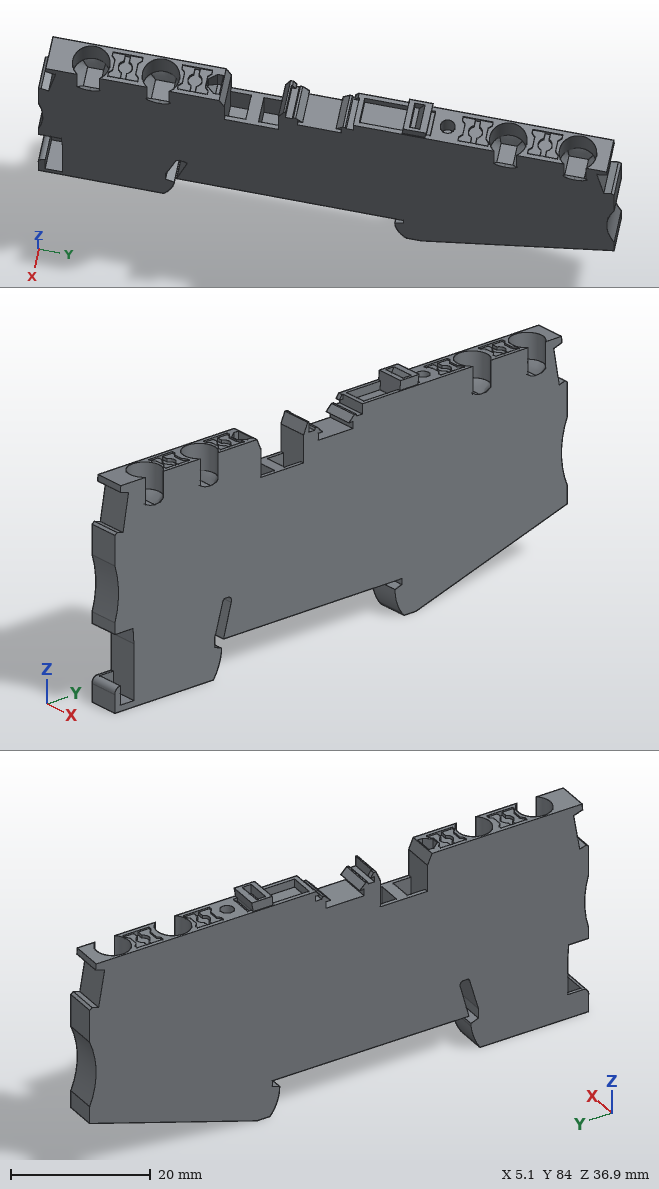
import cadquery as cq

thickness = 5.1
length = 84.0
height = 36.9
deck_z = 35.4
rail_z = 5.9
half_length = length / 2
cut_clearance = 0.8

clip_y = -1.0
clip_floor_z = 32.0
hook_ledge_z = 33.8
hook_relief_inner = 3.95
hook_relief_outer = 4.95
hook_wall = 0.75
bridge_floor_z = 29.2
bridge_y_max = -7.0
bridge_y_min = -14.9
bridge_bevel_z = 33.6
bridge_bevel = 0.75

latch_y_min = 11.2
latch_foot_y_min = 10.9
latch_y_max = 14.6
latch_foot_y_max = 14.4
latch_width = 4.8
latch_groove_y_min = 12.0
latch_groove_floor_y_max = 12.6
latch_groove_y_max = 13.5
latch_groove_depth = 1.7

recess_width = 3.9
label_recess_y_min = 4.7
label_recess_depth = 1.35
latch_recess_y_max = 15.0
latch_recess_depth = 0.5
bridge_pocket_length = 3.0
bridge_pocket_depth = 5.0
test_hole_x = 0.1
test_hole_y = 17.2
test_hole_diameter = 2.1
test_hole_depth = 3.4
test_ramp_run = 0.7

pick_x = 0.1
pick_width = 3.0
pick_y_max = -15.8
pick_floor_y_min = -16.6
pick_y_min = -17.8
pick_end_width = 1.1
pick_depth = 3.4

foot_shelf_z = 4.0
foot_wall_y = -38.5
foot_lip_y = -41.0
foot_side_wall = 0.5
foot_pocket_depth = 3.0

wire_entries = [
    (36.3, 2.85, -1),
    (26.1, 2.35, -1),
    (-24.5, 2.85, 1),
    (-34.7, 2.35, 1),
]
funnel_x = 0.4
funnel_radius = 2.7
funnel_bore_depth = 4.2
funnel_taper_depth = 1.5
funnel_floor_x = 0.1
funnel_floor_width = 3.0
funnel_floor_shift = 0.25

button_offset = 4.9
button_length = 4.4
button_recess = 0.25
button_notch_depth = 0.5
button_notch_outer = 2.7
button_notch_inner = 1.7
button_slot_width = 0.75
button_slot_depth = 0.5
button_hole_diameter = 2.0


def mirrored_y(points, centre):
    """Mirror a chain of (y, z) points about y = centre, reversing its order."""
    return [(2 * centre - y, z) for y, z in reversed(points)]


def box_down(width, y_min, y_max, top_z, depth, x=0.0):
    """Box cutter sunk from top_z, reaching a little above it."""
    return cq.Workplane("XY").box(
        width, y_max - y_min, depth + cut_clearance, centered=(True, False, False)
    ).translate((x, y_min, top_z - depth))


def make_body():
    """Side outline of the housing, extruded across the thickness."""
    end_lip = [
        (40.9, deck_z),
        (41.0, 34.35),
        (39.5, 33.85),
        (40.5, 27.9),
        (41.6, 28.2),
        (half_length, 27.9),
    ]
    hooks = [
        (clip_y + 4.8, deck_z),
        (clip_y + 4.3, 34.6),
        (clip_y + 4.95, 34.6),
        (clip_y + 4.95, hook_ledge_z),
        (clip_y + 3.95, hook_ledge_z),
        (clip_y + 3.8, 34.1),
        (clip_y + 3.45, 34.1),
        (clip_y + 2.4, 33.1),
        (clip_y + 3.2, 33.1),
        (clip_y + 3.2, clip_floor_z),
    ]
    bridge_slot = [
        (bridge_y_max + bridge_bevel, deck_z),
        (bridge_y_max, bridge_bevel_z),
        (bridge_y_max, bridge_floor_z),
        (bridge_y_min, bridge_floor_z),
        (bridge_y_min, bridge_bevel_z),
        (bridge_y_min - bridge_bevel, deck_z),
    ]
    top_edge = hooks + mirrored_y(hooks, clip_y) + bridge_slot

    outline = cq.Workplane("YZ", origin=(-thickness / 2, 0, 0)).moveTo(*top_edge[0])
    for point in top_edge[1:]:
        outline = outline.lineTo(*point)
    for y, z in end_lip:
        outline = outline.lineTo(-y, z)
    outline = (
        outline
        .lineTo(-half_length, 23.1)
        .threePointArc((-41.3, 18.65), (-half_length, 14.2))
        .lineTo(-half_length, 12.35)
        .lineTo(-38.6, 12.35)
        .lineTo(foot_wall_y, 9.9)
        .lineTo(foot_wall_y, foot_shelf_z)
        .lineTo(foot_lip_y, foot_shelf_z)
        .threePointArc((-41.75, 3.7), (-half_length, 2.9))
        .lineTo(-half_length, 0)
        .lineTo(-23.7, 0)
        .threePointArc((-22.7, 2.0), (-22.2, 4.1))
        .lineTo(-22.2, 4.5)
        .lineTo(-23.4, 5.0)
        .lineTo(-23.4, 6.6)
        .lineTo(-22.0, 11.7)
        .threePointArc((-21.75, 12.1), (-21.4, 12.2))
        .lineTo(-20.8, 12.2)
        .threePointArc((-20.4, 11.85), (-20.4, 11.25))
        .lineTo(-21.8, rail_z)
        .lineTo(11.25, rail_z)
        .lineTo(11.25, 4.95)
        .lineTo(10.0, 4.5)
        .threePointArc((10.3, 2.35), (11.25, 0.5))
        .lineTo(11.7, 0)
        .lineTo(13.9, 0)
        .lineTo(half_length, 8.8)
        .lineTo(half_length, 11.7)
        .threePointArc((40.9, 17.1), (half_length, 22.5))
    )
    for y, z in reversed(end_lip):
        outline = outline.lineTo(y, z)
    return outline.close().extrude(thickness)


def make_latch():
    """Raised block with a slanted groove across its top."""
    block = (
        cq.Workplane("YZ")
        .polyline([
            (latch_foot_y_min, deck_z - label_recess_depth),
            (latch_foot_y_max, deck_z - label_recess_depth),
            (latch_foot_y_max, deck_z),
            (latch_y_max, height),
            (latch_y_min, height),
        ])
        .close()
        .extrude(latch_width / 2, both=True)
    )
    groove = (
        cq.Workplane("YZ")
        .polyline([
            (latch_groove_y_min, height),
            (latch_groove_y_min, height - latch_groove_depth),
            (latch_groove_floor_y_max, height - latch_groove_depth),
            (latch_groove_y_max, height),
        ])
        .close()
        .extrude(recess_width / 2, both=True)
    )
    return block.cut(groove)


def wire_funnel(centre_y, floor_length, inward):
    """Round bore that tapers to a rectangular floor."""
    bore_floor = cq.Workplane("XY", origin=(funnel_x, centre_y, deck_z - funnel_bore_depth))
    bore = bore_floor.circle(funnel_radius).extrude(funnel_bore_depth + cut_clearance)
    taper = (
        bore_floor
        .circle(funnel_radius)
        .workplane(offset=-funnel_taper_depth)
        .center(funnel_floor_x - funnel_x, inward * funnel_floor_shift)
        .rect(funnel_floor_width, floor_length)
        .loft(ruled=True)
    )
    return bore.union(taper)


def button_recess_cutter(centre_y):
    """Sunk rectangular button, notched at both ends, with a slotted round recess."""
    plate = box_down(
        recess_width, centre_y - button_length / 2, centre_y + button_length / 2, deck_z, button_recess
    )
    for end in (-1, 1):
        end_y = centre_y + end * button_length / 2
        notch_y = end_y - end * button_notch_depth
        notch = (
            cq.Workplane("XY", origin=(0, 0, deck_z - button_recess))
            .polyline([
                (-button_notch_outer / 2, end_y),
                (-button_notch_inner / 2, notch_y),
                (button_notch_inner / 2, notch_y),
                (button_notch_outer / 2, end_y),
            ])
            .close()
            .extrude(button_recess + cut_clearance)
        )
        plate = plate.cut(notch)
    slot_depth = button_recess + button_slot_depth
    slot = box_down(
        recess_width, centre_y - button_slot_width / 2, centre_y + button_slot_width / 2, deck_z, slot_depth
    )
    hole = (
        cq.Workplane("XY", origin=(0, centre_y, deck_z - slot_depth))
        .circle(button_hole_diameter / 2)
        .extrude(slot_depth)
    )
    return plate.union(slot).union(hole)


def ramped_recess(plan, y_flat, y_ramp, y_end, depth):
    """Recess of the given plan: level floor to y_ramp, then a 45 degree ramp to y_end."""
    ramp_rise = abs(y_end - y_ramp)
    section = (
        cq.Workplane("YZ")
        .polyline([
            (y_flat, deck_z + cut_clearance),
            (y_flat, deck_z - depth),
            (y_ramp, deck_z - depth),
            (y_end, deck_z - depth + ramp_rise),
            (y_end, deck_z + cut_clearance),
        ])
        .close()
        .extrude(thickness / 2, both=True)
    )
    return plan.extrude(depth + cut_clearance).intersect(section)


def test_hole_cutter():
    """Round blind hole with a ramp on its +Y side."""
    radius = test_hole_diameter / 2
    plan = cq.Workplane("XY", origin=(test_hole_x, test_hole_y, deck_z - test_hole_depth)).circle(radius)
    y_end = test_hole_y + radius
    return ramped_recess(plan, test_hole_y - radius, y_end - test_ramp_run, y_end, test_hole_depth)


def pick_recess_cutter():
    """Recess narrowing towards -Y above a ramp."""
    plan = (
        cq.Workplane("XY", origin=(pick_x, 0, deck_z - pick_depth))
        .polyline([
            (-pick_width / 2, pick_y_max),
            (-pick_width / 2, pick_floor_y_min),
            (-pick_end_width / 2, pick_y_min),
            (pick_end_width / 2, pick_y_min),
            (pick_width / 2, pick_floor_y_min),
            (pick_width / 2, pick_y_max),
        ])
        .close()
    )
    return ramped_recess(plan, pick_y_max, pick_floor_y_min, pick_y_min, pick_depth)


body = make_body()

body = body.cut(box_down(recess_width, label_recess_y_min, latch_y_min, deck_z, label_recess_depth))
body = body.cut(box_down(recess_width, latch_foot_y_max, latch_recess_y_max, deck_z, latch_recess_depth))
body = body.union(make_latch())

for side in (-1, 1):
    relief_ends = sorted((clip_y + side * hook_relief_inner, clip_y + side * hook_relief_outer))
    body = body.cut(box_down(thickness, *relief_ends, deck_z, deck_z - hook_ledge_z, x=hook_wall))

body = body.cut(box_down(
    thickness, foot_lip_y, foot_wall_y, foot_shelf_z, foot_pocket_depth, x=foot_side_wall
))

for pocket_y_min in (bridge_y_min, bridge_y_max - bridge_pocket_length):
    body = body.cut(box_down(
        recess_width, pocket_y_min, pocket_y_min + bridge_pocket_length, bridge_floor_z, bridge_pocket_depth
    ))

body = body.cut(test_hole_cutter()).cut(pick_recess_cutter())

for entry_y, floor_length, inward in wire_entries:
    body = body.cut(wire_funnel(entry_y, floor_length, inward))
    body = body.cut(button_recess_cutter(entry_y + inward * button_offset))

result = body